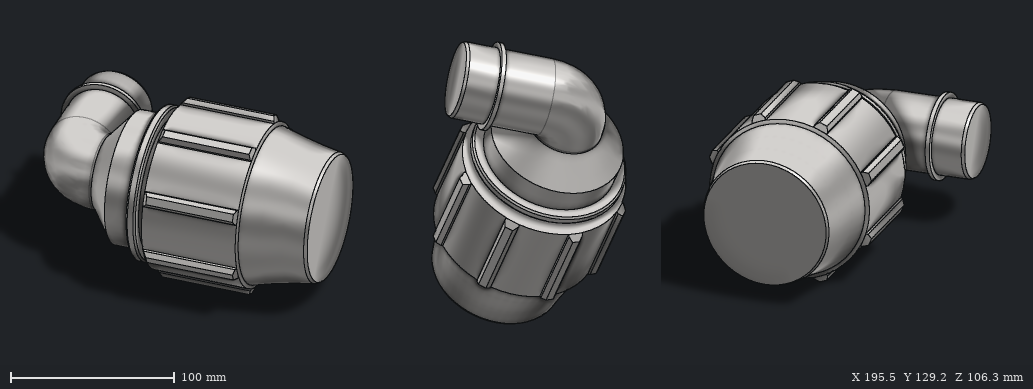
import cadquery as cq
import math


pipe_radius = 47.9 / 2
pipe_end_y = 76.0
pipe_end_chamfer_length = 2.0
pipe_end_chamfer_depth = 1.0
flange_radius = 55.0 / 2
flange_start_y = 51.8
flange_width = 2.7
bend_radius = 19.2

overall_length = 195.5
cone_start_x = 20.5
cone_end_x = 36.2
body_radius = 84.8 / 2
collar_start_x = 52.4
collar_width = 6.0
collar_radius = 98.3 / 2
collar_chamfer = 1.2

nut_start_x = 64.1
nut_end_x = 126.5
nut_radius = 52.4
nut_chamfer_length = 1.0
tail_end_x = overall_length - flange_radius
tail_start_radius = 49.8
tail_end_radius = 41.2
tail_sag = 0.68
tail_chamfer_length = 2.0
tail_chamfer_depth = 1.2

rib_count = 8
rib_top_radius = 56.5
rib_shoulder_radius = 53.5
rib_root_radius = 47.0
rib_half_width = 4.7
rib_top_half_width = 2.5
rib_front_slope_length = 3.1
rib_back_slope_length = 1.5


def make_pipe():
    """Straight pipe with a thin flange and a chamfered free end."""
    half_profile = (
        cq.Workplane("XY")
        .moveTo(0, bend_radius)
        .lineTo(pipe_radius, bend_radius)
        .lineTo(pipe_radius, flange_start_y)
        .lineTo(flange_radius, flange_start_y)
        .lineTo(flange_radius, flange_start_y + flange_width)
        .lineTo(pipe_radius, flange_start_y + flange_width)
        .lineTo(pipe_radius, pipe_end_y - pipe_end_chamfer_length)
        .lineTo(pipe_radius - pipe_end_chamfer_depth, pipe_end_y)
        .lineTo(0, pipe_end_y)
        .close()
    )
    return half_profile.revolve(360, (0, 0, 0), (0, 1, 0))


def make_elbow():
    """Quarter bend; the pipe circle is cut off where it would cross the bend axis."""
    half_chord = math.sqrt(pipe_radius**2 - bend_radius**2)
    section = (
        cq.Workplane("XZ", origin=(0, bend_radius, 0))
        .moveTo(bend_radius, -half_chord)
        .threePointArc((-pipe_radius, 0), (bend_radius, half_chord))
        .close()
    )
    return section.revolve(90, (bend_radius, 0, 0), (bend_radius, 1, 0))


def make_body():
    """Cone, cylinder, nut barrel and tail turned about X."""
    tail_chamfer_x = tail_end_x - tail_chamfer_length
    tail_middle = (
        (nut_end_x + tail_chamfer_x) / 2,
        (tail_start_radius + tail_end_radius) / 2 - tail_sag,
    )
    half_profile = (
        cq.Workplane("XY")
        .moveTo(bend_radius, 0)
        .lineTo(bend_radius, pipe_radius)
        .lineTo(cone_start_x, pipe_radius)
        .lineTo(cone_end_x, body_radius)
        .lineTo(nut_start_x, body_radius)
        .lineTo(nut_start_x, nut_radius)
        .lineTo(nut_end_x - nut_chamfer_length, nut_radius)
        .lineTo(nut_end_x, tail_start_radius)
        .threePointArc(tail_middle, (tail_chamfer_x, tail_end_radius))
        .lineTo(tail_end_x, tail_end_radius - tail_chamfer_depth)
        .lineTo(tail_end_x, 0)
        .close()
    )
    return half_profile.revolve(360, (0, 0, 0), (1, 0, 0))


def make_collar():
    """Chamfered ring in front of the nut."""
    return (
        cq.Workplane("YZ", origin=(collar_start_x, 0, 0))
        .circle(collar_radius)
        .extrude(collar_width)
        .edges()
        .chamfer(collar_chamfer)
    )


def make_rib():
    """One rib on the +Z side: a bevelled bar with both ends sloped down to the nut."""
    bar = (
        cq.Workplane("YZ", origin=(nut_start_x, 0, 0))
        .polyline([
            (-rib_half_width, rib_root_radius),
            (-rib_half_width, rib_shoulder_radius),
            (-rib_top_half_width, rib_top_radius),
            (rib_top_half_width, rib_top_radius),
            (rib_half_width, rib_shoulder_radius),
            (rib_half_width, rib_root_radius),
        ])
        .close()
        .extrude(nut_end_x - nut_start_x)
    )
    rib_end_x = nut_end_x - nut_chamfer_length
    side_outline = (
        cq.Workplane("XZ")
        .polyline([
            (nut_start_x, rib_root_radius),
            (nut_start_x, nut_radius),
            (nut_start_x + rib_front_slope_length, rib_top_radius),
            (rib_end_x - rib_back_slope_length, rib_top_radius),
            (rib_end_x, nut_radius),
            (rib_end_x, rib_root_radius),
        ])
        .close()
        .extrude(rib_half_width, both=True)
    )
    return bar.intersect(side_outline)


result = make_body().union(make_collar()).union(make_elbow()).union(make_pipe())

rib = make_rib()
rib_pitch = 360 / rib_count
for index in range(rib_count):
    angle = (index + 0.5) * rib_pitch
    result = result.union(rib.rotate((0, 0, 0), (1, 0, 0), angle))